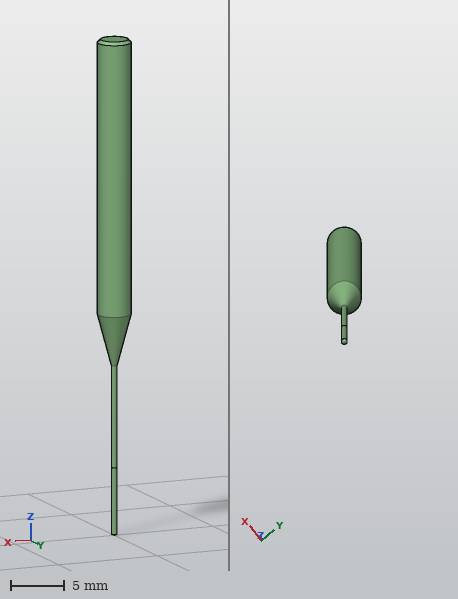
import cadquery as cq
import math

overall_length = 47.11
shank_diameter = 3.175

cutter_diameter = 0.55
neck_diameter = cutter_diameter

point_height = 0.11
cutter_end = point_height + 6.35
neck_end = point_height + 16.0

cone_half_angle = 15.0
cone_length = (shank_diameter - neck_diameter) / 2 / math.tan(math.radians(cone_half_angle))
cone_end = neck_end + cone_length

chamfer = 0.3


def revolve_about_z(profile):
    """Turn a closed half profile through a full circle about the Z axis."""
    return profile.revolve(360, (0, 0, 0), (0, 1, 0))


def make_shank():
    """Neck, cone and cylindrical shank with a chamfered top, in one piece."""
    shank_radius = shank_diameter / 2
    neck_radius = neck_diameter / 2
    profile = (
        cq.Workplane("YZ")
        .moveTo(0, cutter_end)
        .lineTo(neck_radius, cutter_end)
        .lineTo(neck_radius, neck_end)
        .lineTo(shank_radius, cone_end)
        .lineTo(shank_radius, overall_length - chamfer)
        .lineTo(shank_radius - chamfer, overall_length)
        .lineTo(0, overall_length)
        .close()
    )
    return revolve_about_z(profile)


def make_cutter():
    """Cylindrical cutting end with a shallow conical point, butted against the neck."""
    cutter_radius = cutter_diameter / 2
    profile = (
        cq.Workplane("YZ")
        .lineTo(cutter_radius, point_height)
        .lineTo(cutter_radius, cutter_end)
        .lineTo(0, cutter_end)
        .close()
    )
    return revolve_about_z(profile)


shank = make_shank()
cutter = make_cutter()

result = cq.Compound.makeCompound([shank.val(), cutter.val()])